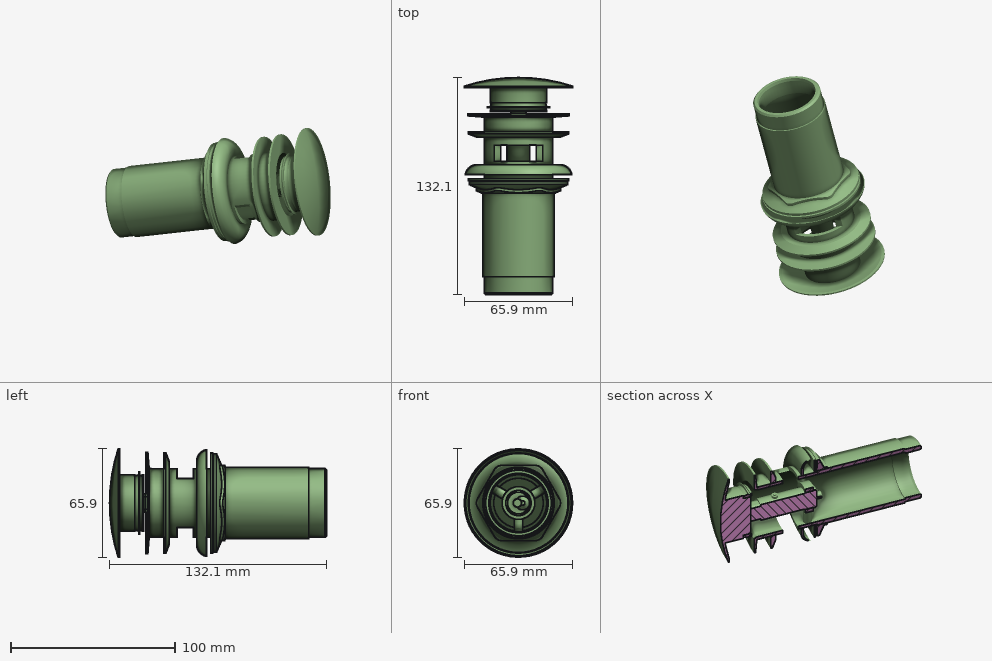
import cadquery as cq
import math

TOTAL_LENGTH = 132.1

CAP_RADIUS = 65.9 / 2
DOME_HEIGHT = 5.3
CAP_UNDERSIDE = 6.2
CAP_RIM_WIDTH = 1.8
CAP_HOLLOW_DEPTH = 2.9
PLUG_RADIUS = 17.3
GROOVE_TOP = 15.3
GROOVE_BOTTOM = 19.8
GROOVE_RADIUS = 15.0
PLUG_BOTTOM = 20.9
PLUG_RECESS_RADIUS = 15.0
PLUG_RECESS_DEPTH = 0.5

SEAL_EDGE_RADIUS = 16.5
SEAL_RADIUS = 17.2
LIP_RADIUS = 19.0
LIP_DEPTH = 18.1
LIP_THICKNESS = 0.4

FLANGE_TOP = 22.2
FLANGE_RADIUS = 30.9
FLANGE_EDGE = 1.2
FLANGE_BOTTOM = 24.2
TUBE_RADIUS = 42.0 / 2
THREAD_RADIUS = 21.8
THREAD_END = 121.1
TAIL_CHAMFER = 1.0
BORE_RADIUS = 18.5
SEAT_RADIUS = 19.4
SEAT_DEPTH = 2.0
TAIL_BORE_RADIUS = 17.6
TAIL_BORE_LENGTH = 11.0
BORE_LEAD_IN = 0.5
BORE_LEAD_IN_LENGTH = 1.7
SLOT_TOP = 41.2
SLOT_BOTTOM = 51.0
SLOT_FLOOR = 15.0

HUB_TOP = 55.5
HUB_BOTTOM = 61.3
HUB_RADIUS = 20.0 / 2
ARM_RADIUS = 5.4 / 2
ARM_COUNT = 3

STEM_RADIUS = 14.0 / 2
STEM_SHOULDER = 26.4
STEM_END_RADIUS = 15.5 / 2
STEM_END = 63.4
STEM_CHAMFER = 1.0
BOSS_DEPTH = 37.0
BOSS_RADIUS = 2.0
BOSS_TOP = 8.5
STUD_RADIUS = 1.0
STUD_TOP = 9.2
NECK_RADIUS = 6.0
NECK_WIDTH_X = 9.2
NECK_WIDTH_Z = 11.5
CONE_OFFSET = 2.6
CONE_BASE_RADIUS = 4.2
CONE_TIP_RADIUS = 1.3
CONE_HEIGHT = 2.9
PEG_OFFSET = -0.7
PEG_RADIUS = 5.0 / 2
PEG_HEIGHT = 3.5

WASHER_RADIUS = 61.0 / 2
BEVELLED_TOP = 33.2
BEVELLED_EDGE = 1.2
BEVELLED_BOTTOM = 36.5
BEVELLED_FACE_RADIUS = 25.0
GASKET_TOP = 53.0
GASKET_BOTTOM = 59.2
GASKET_RADIUS = 32.5
GASKET_TOP_RADIUS = 25.0
GASKET_RIM_WIDTH = 0.4
GASKET_WEB = 1.6
FLAT_WASHER_TOP = 61.5
FLAT_WASHER_BOTTOM = 62.9
THIN_RING_RADIUS = 24.2

NUT_TOP = 63.4
NUT_RADIUS = 30.1
NUT_EDGE = 1.7
NUT_BOTTOM = 70.5
HEX_WIDTH = 45.7
HEX_CORNER_FILLET = 5.2
NUT_CONE_END = 68.3
NUT_CHAMFER_RADIUS = 25.8
NUT_CHAMFER_START = 68.8


def revolve_about_y(outline):
    """Turn a closed outline drawn in the XY plane about the Y axis."""
    return outline.close().revolve(360, (0, 0, 0), (0, 1, 0))


def turned(points):
    """Turned solid from (radius, depth) points."""
    return revolve_about_y(cq.Workplane("XY").polyline([(r, -depth) for r, depth in points]))


def cylinder(radius, top, bottom, x=0):
    return cq.Workplane("XZ", origin=(x, -top, 0)).circle(radius).extrude(bottom - top)


def ring(outer_radius, inner_radius, top, bottom):
    return cylinder(outer_radius, top, bottom).cut(cylinder(inner_radius, top, bottom))


def make_cap():
    sphere_radius = (CAP_RADIUS**2 + DOME_HEIGHT**2) / (2 * DOME_HEIGHT)
    mid_x = CAP_RADIUS / 2
    mid_depth = sphere_radius - math.sqrt(sphere_radius**2 - mid_x**2)
    neck_top = CAP_UNDERSIDE - CAP_HOLLOW_DEPTH
    plug_floor = PLUG_BOTTOM - PLUG_RECESS_DEPTH
    outline = (
        cq.Workplane("XY")
        .moveTo(0, 0)
        .threePointArc((mid_x, -mid_depth), (CAP_RADIUS, -DOME_HEIGHT))
        .lineTo(CAP_RADIUS, -CAP_UNDERSIDE)
        .lineTo(CAP_RADIUS - CAP_RIM_WIDTH, -CAP_UNDERSIDE)
        .lineTo(PLUG_RADIUS, -neck_top)
        .lineTo(PLUG_RADIUS, -GROOVE_TOP)
        .lineTo(GROOVE_RADIUS, -GROOVE_TOP)
        .lineTo(GROOVE_RADIUS, -GROOVE_BOTTOM)
        .lineTo(PLUG_RADIUS, -GROOVE_BOTTOM)
        .lineTo(PLUG_RADIUS, -PLUG_BOTTOM)
        .lineTo(PLUG_RECESS_RADIUS, -PLUG_BOTTOM)
        .lineTo(PLUG_RECESS_RADIUS, -plug_floor)
        .lineTo(0, -plug_floor)
    )
    return revolve_about_y(outline)


def make_seal():
    lip_top = LIP_DEPTH - LIP_THICKNESS / 2
    lip_bottom = LIP_DEPTH + LIP_THICKNESS / 2
    return turned(
        [
            (GROOVE_RADIUS, GROOVE_TOP),
            (SEAL_EDGE_RADIUS, GROOVE_TOP),
            (SEAL_RADIUS, lip_top),
            (LIP_RADIUS, lip_top),
            (LIP_RADIUS, lip_bottom),
            (SEAL_RADIUS, lip_bottom),
            (SEAL_EDGE_RADIUS, GROOVE_BOTTOM),
            (GROOVE_RADIUS, GROOVE_BOTTOM),
        ]
    )


def make_arm(angle):
    """Round bar from the hub to the tube wall, pointing along -Z before it is turned."""
    arm_depth = (HUB_TOP + HUB_BOTTOM) / 2
    wall_overlap_radius = (BORE_RADIUS + TUBE_RADIUS) / 2
    inner_radius = (STEM_RADIUS + HUB_RADIUS) / 2
    arm = (
        cq.Workplane("XY", origin=(0, -arm_depth, -wall_overlap_radius))
        .circle(ARM_RADIUS)
        .extrude(wall_overlap_radius - inner_radius)
    )
    return arm.rotate((0, 0, 0), (0, 1, 0), angle)


def make_drain_body():
    tail_bore_top = TOTAL_LENGTH - TAIL_BORE_LENGTH
    body = turned(
        [
            (BORE_RADIUS, FLANGE_TOP + SEAT_DEPTH),
            (SEAT_RADIUS, FLANGE_TOP),
            (FLANGE_RADIUS, FLANGE_TOP),
            (FLANGE_RADIUS, FLANGE_TOP + FLANGE_EDGE),
            (TUBE_RADIUS, FLANGE_BOTTOM),
            (TUBE_RADIUS, NUT_TOP),
            (THREAD_RADIUS, NUT_TOP),
            (THREAD_RADIUS, THREAD_END),
            (TUBE_RADIUS, THREAD_END),
            (TUBE_RADIUS, TOTAL_LENGTH - TAIL_CHAMFER),
            (TUBE_RADIUS - TAIL_CHAMFER, TOTAL_LENGTH),
            (TAIL_BORE_RADIUS + BORE_LEAD_IN, TOTAL_LENGTH),
            (TAIL_BORE_RADIUS, TOTAL_LENGTH - BORE_LEAD_IN_LENGTH),
            (TAIL_BORE_RADIUS, tail_bore_top),
            (BORE_RADIUS, tail_bore_top),
        ]
    )
    slot_length = SLOT_BOTTOM - SLOT_TOP
    slot_depth = TUBE_RADIUS - SLOT_FLOOR
    for side in (1, -1):
        slot = cq.Workplane("XY").box(2 * TUBE_RADIUS, slot_length, slot_depth)
        body = body.cut(
            slot.translate((0, -(SLOT_TOP + SLOT_BOTTOM) / 2, side * (SLOT_FLOOR + slot_depth / 2)))
        )
    body = body.union(ring(HUB_RADIUS, STEM_RADIUS, HUB_TOP, HUB_BOTTOM))
    for index in range(ARM_COUNT):
        body = body.union(make_arm(index * 360 / ARM_COUNT))
    return body


def make_stem():
    neck_top = PLUG_BOTTOM - PLUG_RECESS_DEPTH
    neck_length = STEM_SHOULDER - neck_top
    neck_flats = (
        cq.Workplane("XZ", origin=(0, -neck_top, 0))
        .rect(NECK_WIDTH_X, NECK_WIDTH_Z)
        .extrude(neck_length)
    )
    neck = cylinder(NECK_RADIUS, neck_top, STEM_SHOULDER).intersect(neck_flats)
    shaft = cylinder(STEM_RADIUS, STEM_SHOULDER, HUB_BOTTOM)
    boss_plane = cq.Workplane("XY", origin=(0, -BOSS_DEPTH, 0))
    boss = boss_plane.circle(BOSS_RADIUS).extrude(BOSS_TOP)
    stud = boss_plane.circle(STUD_RADIUS).extrude(STUD_TOP)
    end = cylinder(STEM_END_RADIUS, HUB_BOTTOM, STEM_END).faces("<Y").chamfer(STEM_CHAMFER)
    cone = turned(
        [
            (0, STEM_END),
            (CONE_BASE_RADIUS, STEM_END),
            (CONE_TIP_RADIUS, STEM_END + CONE_HEIGHT),
            (0, STEM_END + CONE_HEIGHT),
        ]
    ).translate((CONE_OFFSET, 0, 0))
    peg = cylinder(PEG_RADIUS, STEM_END, STEM_END + PEG_HEIGHT, PEG_OFFSET)
    return neck.union(shaft).union(boss).union(stud).union(end).union(cone).union(peg)


def make_bevelled_washer():
    return turned(
        [
            (TUBE_RADIUS, BEVELLED_TOP),
            (WASHER_RADIUS, BEVELLED_TOP),
            (WASHER_RADIUS, BEVELLED_TOP + BEVELLED_EDGE),
            (BEVELLED_FACE_RADIUS, BEVELLED_BOTTOM),
            (TUBE_RADIUS, BEVELLED_BOTTOM),
        ]
    )


def gasket_section(top, outer_radius):
    """Half section with a flat top at the given depth, rounded over to the gasket bottom."""
    return (
        cq.Workplane("XY")
        .moveTo(TUBE_RADIUS, -top)
        .lineTo(GASKET_TOP_RADIUS, -top)
        .tangentArcPoint((outer_radius, -GASKET_BOTTOM), relative=False)
        .lineTo(TUBE_RADIUS, -GASKET_BOTTOM)
    )


def make_gasket():
    dome = revolve_about_y(gasket_section(GASKET_TOP, GASKET_RADIUS))
    hollow = revolve_about_y(
        gasket_section(GASKET_TOP + GASKET_WEB, GASKET_RADIUS - GASKET_RIM_WIDTH)
    )
    return dome.cut(hollow)


def make_nut():
    envelope = turned(
        [
            (THREAD_RADIUS, NUT_TOP),
            (NUT_RADIUS, NUT_TOP),
            (NUT_RADIUS, NUT_TOP + NUT_EDGE),
            (HEX_WIDTH / 2, NUT_CONE_END),
            (THREAD_RADIUS, NUT_CONE_END),
        ]
    )
    hexagon = (
        cq.Workplane("XZ", origin=(0, -NUT_TOP, 0))
        .polygon(6, HEX_WIDTH / math.cos(math.pi / 6))
        .extrude(NUT_BOTTOM - NUT_TOP)
        .edges("|Y")
        .fillet(HEX_CORNER_FILLET)
    )
    chamfered = turned(
        [
            (THREAD_RADIUS, NUT_TOP),
            (NUT_CHAMFER_RADIUS, NUT_TOP),
            (NUT_CHAMFER_RADIUS, NUT_CHAMFER_START),
            (THREAD_RADIUS, NUT_BOTTOM),
        ]
    )
    return envelope.union(hexagon.intersect(chamfered))


cap = make_cap()
seal = make_seal()
drain_body = make_drain_body()
stem = make_stem()
bevelled_washer = make_bevelled_washer()
gasket = make_gasket()
flat_washer = ring(WASHER_RADIUS, TUBE_RADIUS, FLAT_WASHER_TOP, FLAT_WASHER_BOTTOM)
thin_ring = ring(THIN_RING_RADIUS, TUBE_RADIUS, FLAT_WASHER_BOTTOM, NUT_TOP)
nut = make_nut()

result = cq.Compound.makeCompound(
    [
        cap.val(),
        seal.val(),
        drain_body.val(),
        stem.val(),
        bevelled_washer.val(),
        gasket.val(),
        flat_washer.val(),
        thin_ring.val(),
        nut.val(),
    ]
)